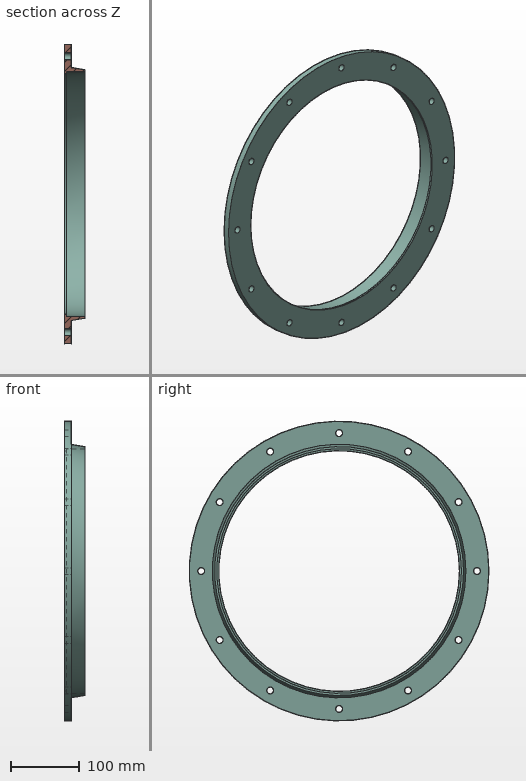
import cadquery as cq

flange_diameter = 435.0
flange_thickness = 10.0
lip_bore_diameter = 349.0
lip_thickness = 3.0

overall_depth = 30.0
collar_root_diameter = 368.0
collar_tip_diameter = 361.0
collar_bore_diameter = 355.0

hole_count = 12
hole_diameter = 9.5
bolt_circle_diameter = 400.0


def ring_profile():
    """Half section in the XY plane, to be revolved about the X axis."""
    return (
        cq.Workplane("XY")
        .moveTo(0, lip_bore_diameter / 2)
        .lineTo(0, flange_diameter / 2)
        .lineTo(flange_thickness, flange_diameter / 2)
        .lineTo(flange_thickness, collar_root_diameter / 2)
        .lineTo(overall_depth, collar_tip_diameter / 2)
        .lineTo(overall_depth, collar_bore_diameter / 2)
        .lineTo(lip_thickness, collar_bore_diameter / 2)
        .lineTo(lip_thickness, lip_bore_diameter / 2)
        .close()
    )


def bolt_holes():
    """Cylinders through the flange, evenly spaced on the bolt circle."""
    return (
        cq.Workplane("YZ")
        .polarArray(bolt_circle_diameter / 2, 0, 360, hole_count)
        .circle(hole_diameter / 2)
        .extrude(flange_thickness)
    )


ring = ring_profile().revolve(360, (0, 0, 0), (1, 0, 0))
result = ring.cut(bolt_holes())